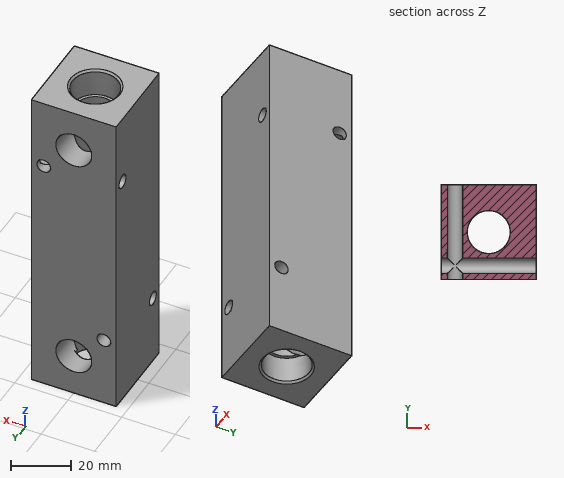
import cadquery as cq

length = 120.6
width = 31.7

bore_diameter = 14.2
port_mouth_diameter = 17.0
port_depth = 10.3
port_taper = 1 / 16
port_chamfer = 0.7

outlet_diameter = 13.4
outlet_end_distance = 15.9

hole_diameter = 5.1
hole_offset = 11.2
hole_spacing = 66.8


def make_block():
    return cq.Workplane("XY").box(width, width, length)


def make_port_cutter():
    """Tapered port and mouth chamfer for the top end, revolved about Z."""
    top = length / 2
    mouth_radius = port_mouth_diameter / 2
    floor_radius = mouth_radius - port_taper * (port_depth - port_chamfer) / 2
    return (
        cq.Workplane("XZ")
        .moveTo(0, top)
        .lineTo(mouth_radius + port_chamfer, top)
        .lineTo(mouth_radius, top - port_chamfer)
        .lineTo(floor_radius, top - port_depth)
        .lineTo(0, top - port_depth)
        .close()
        .revolve(360, (0, 0, 0), (0, 1, 0))
    )


def make_bore_cutter():
    bore = cq.Workplane("XY").circle(bore_diameter / 2).extrude(length / 2, both=True)
    port = make_port_cutter()
    return bore.union(port).union(port.mirror("XY"))


def make_outlets():
    outlet_height = length / 2 - outlet_end_distance
    return (
        cq.Workplane("XZ")
        .pushPoints([(0, outlet_height), (0, -outlet_height)])
        .circle(outlet_diameter / 2)
        .extrude(-width / 2)
    )


def make_cross_holes(plane):
    """Two through holes along the normal of a vertical plane, placed on a diagonal."""
    return (
        cq.Workplane(plane)
        .pushPoints([(side * hole_offset, side * hole_spacing / 2) for side in (-1, 1)])
        .circle(hole_diameter / 2)
        .extrude(width, both=True)
    )


result = make_block()
result = result.cut(make_bore_cutter())
result = result.cut(make_outlets())
for hole_plane in ("XZ", "YZ"):
    result = result.cut(make_cross_holes(hole_plane))